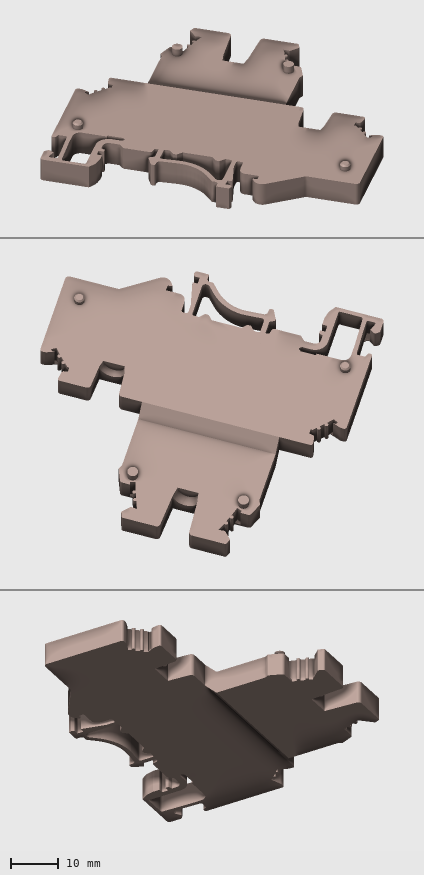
import cadquery as cq
import math

LENGTH = 67.2
HEIGHT = 61.0
PLATE = 5.2
STEP = 2.6
BODY_TOP_Y = 34.1
RAMP_END_Y = 36.8
BODY_MID_X = LENGTH / 2

HEAD_MID_X = 27.95
HEAD_HALF = 15.05

HEAD_NOTCH_HALVES = (3.2, 2.7, 2.3)
HEAD_TROUGH_Y = (50.6, 52.75)
BODY_NOTCH_HALVES = (3.15, 2.75, 2.35)
BODY_NOTCH_X = 51.35
BODY_TROUGH_Y = (26.75, 28.3)
CHANNEL_DROP = 0.2
NOTCH_ROUND = 0.8

RIB_RADIUS = 0.4
HEAD_FLOOR = 0.5
BODY_FLOOR = 0.2

PIN_Y = 14.0
PIN_X = 4.45
PIN_DIAMETER = 2.2
PIN_HEIGHT = 1.4
PIN_CHAMFER = 0.35
HEAD_PIN_Y = 50.55
HEAD_PIN_OFFSET = 12.15
HEAD_PIN_DIAMETER = 2.3
HEAD_PIN_HEIGHT = 1.75
HEAD_PIN_STEM = 0.9

ARCH_THICKNESS = 1.1
ARCH_RADIUS = 10.1
ARCH_CORNER = (33.05, 7.7)
ARCH_LEFT_SLOPE = 0.07
ARCH_RIGHT_SLOPE = -1.1


def outline(corners, z=0.0):
    """Closed wire through (x, y) or (x, y, radius) corners; a radius rounds that corner."""
    count = len(corners)
    path = None
    for i, corner in enumerate(corners):
        here = cq.Vector(*corner[:2])
        radius = corner[2] if len(corner) == 3 else 0
        back = (cq.Vector(*corners[i - 1][:2]) - here).normalized()
        ahead = (cq.Vector(*corners[(i + 1) % count][:2]) - here).normalized()
        half_angle = back.getAngle(ahead) / 2
        run = radius / math.tan(half_angle) if radius else 0
        start = here + back * run
        end = here + ahead * run
        if path is None:
            path = cq.Workplane("XY", origin=(0, 0, z)).moveTo(start.x, start.y)
        else:
            path = path.lineTo(start.x, start.y)
        if radius:
            inward = (back + ahead).normalized()
            middle = here + inward * (radius / math.sin(half_angle) - radius)
            path = path.threePointArc((middle.x, middle.y), (end.x, end.y))
    return path.close()


def mirrored(corners, mid_x):
    """The same corners reflected about x = mid_x, in reverse order."""
    return [(2 * mid_x - x, *rest) for x, *rest in reversed(corners)]


def arch_corners(depth):
    """Left end, rounded corner and right end of the spring arm, measured depth below its upper side."""
    left_angle = math.atan(ARCH_LEFT_SLOPE)
    right_angle = math.atan(ARCH_RIGHT_SLOPE)
    bend = (left_angle + right_angle) / 2
    offset = depth / math.cos((left_angle - right_angle) / 2)
    x = ARCH_CORNER[0] + offset * math.sin(bend)
    y = ARCH_CORNER[1] - offset * math.cos(bend)

    def left_at(end_x):
        return (end_x, y + ARCH_LEFT_SLOPE * (end_x - x))

    def right_at(end_y):
        return (x + (end_y - y) / ARCH_RIGHT_SLOPE, end_y)

    return left_at, (x, y, ARCH_RADIUS - depth), right_at


def trough(mid_x, y_range, halves, top_z):
    """Tapered half-round funnel in a notch floor, crossed by a round channel that dips outward."""
    inner_y, outer_y = y_range
    outer_radius, inner_radius = halves[1:]
    depth = outer_y - inner_y
    inner_center = cq.Vector(mid_x, inner_y, top_z)
    along_y = cq.Vector(0, 1, 0)
    funnel = cq.Solid.makeCone(inner_radius, outer_radius, depth, inner_center, along_y)
    rim = cq.Wire.makeCircle(inner_radius, inner_center - cq.Vector(0, 0, CHANNEL_DROP), along_y)
    channel = cq.Solid.extrudeLinear(rim, [], cq.Vector(0, depth, -CHANNEL_DROP))
    return cq.Workplane(funnel).union(cq.Workplane(channel))


def notch_corners(mid_x, mouth_y, y_range, halves):
    """Notch from its left mouth to its right mouth, ending at the trough's outer edge."""
    left = [
        (mid_x - halves[0], mouth_y, NOTCH_ROUND),
        (mid_x - halves[1], y_range[1]),
    ]
    return left + mirrored(left, mid_x)


HEAD_HOOK = [
    (HEAD_MID_X - HEAD_HALF, RAMP_END_Y),
    (HEAD_MID_X - HEAD_HALF, 48.7),
    (12.4, 49.6, 0.3),
    (13.7, 52.75, 0.7),
    (17.1, 52.75),
    (18.55, 57.0),
    (16.0, 59.7, 0.35),
    (16.5, HEIGHT, 0.4),
]
HEAD_RECESSES = [
    [(17.55, 57.9), (19.0, 58.05), (18.55, 57.0)],
    [(17.1, 52.75), (16.8, 51.8), (15.65, 52.2), (15.85, 52.75)],
]
HEAD_RIBS = [(17.95, 56.0), (17.3, 54.2)]

BODY_HOOK = [
    (0, 28.2, 0.55),
    (1.3, 28.2, 1.35),
    (3.75, 27.3),
    (6.7, 30.4),
    (5.85, 32.1, 1.0),
    (5.6, BODY_TOP_Y, 0.5),
]
BODY_RECESSES = [
    [(6.1, 31.6), (7.1, 31.45), (7.1, 30.4), (6.7, 30.4)],
    [(4.0, 27.55), (3.15, 26.55), (2.15, 27.15), (2.5, 27.55)],
]
BODY_RIBS = [(5.6, 29.6), (4.3, 28.3)]


def build_head():
    notch = notch_corners(HEAD_MID_X, HEIGHT, HEAD_TROUGH_Y, HEAD_NOTCH_HALVES)
    corners = HEAD_HOOK + notch + mirrored(HEAD_HOOK, HEAD_MID_X)
    head = outline(corners).extrude(PLATE)
    ramp_corners = [
        (BODY_TOP_Y, STEP),
        (RAMP_END_Y, 0),
        (RAMP_END_Y, PLATE),
        (BODY_TOP_Y, STEP + PLATE),
    ]
    ramp_plane = cq.Workplane("YZ", origin=(HEAD_MID_X - HEAD_HALF, 0, 0))
    ramp = ramp_plane.polyline(ramp_corners).close().extrude(2 * HEAD_HALF)
    head = head.union(ramp)
    head = head.cut(trough(HEAD_MID_X, HEAD_TROUGH_Y, HEAD_NOTCH_HALVES, PLATE))
    return finish_hooks(head, HEAD_MID_X, HEAD_RECESSES, HEAD_RIBS, 0, HEAD_FLOOR)


def finish_hooks(plate, mid_x, recesses, ribs, base_z, floor):
    """Cut the hook-corner recesses and add the grip ribs on both sides of mid_x."""
    for recess in recesses:
        for corners in (recess, mirrored(recess, mid_x)):
            plate = plate.cut(outline(corners, base_z + floor).extrude(PLATE))
    for centers in (ribs, mirrored(ribs, mid_x)):
        rib_plane = cq.Workplane("XY", origin=(0, 0, base_z))
        plate = plate.union(rib_plane.pushPoints(centers).circle(RIB_RADIUS).extrude(PLATE))
    return plate


def body_corners():
    left_at, bend, right_at = arch_corners(ARCH_THICKNESS)
    left_foot = [
        (0, 8.95, 0.4),
        (0.95, 8.95, 0.4),
        (1.3, 9.95, 0.3),
        (3.2, 9.95, 0.35),
        (3.5, 3.6),
        (2.7, 2.8, 0.55),
        (1.0, 4.0, 0.6),
        (0.1, 3.2, 0.35),
        (0.1, 0, 0.7),
        (10.75, 0),
        (11.8, 1.55, 2.7),
        (12.2, 3.35),
        (12.2, 5.0),
        (11.1, 5.0, 0.2),
        (11.1, 6.45, 0.2),
        (12.2, 6.45),
        (12.2, 7.2),
        (11.35, 7.5),
        (11.35, 9.95, 1.35),
        (14.65, 9.95, 0.35),
        (15.7, 8.9),
        (21.9, 8.9, 0.55),
        (22.25, 10.4, 0.4),
        (23.05, 10.4),
        (23.05, 7.5, 0.3),
        (21.8, 6.85, 0.4),
        (23.05, 4.4, 0.4),
        (24.0, 4.4, 0.35),
    ]
    spring_arm = [
        (*left_at(24.0), 0.8),
        bend,
        (*right_at(1.7), 0.4),
        (38.5, 1.7, 0.7),
        (38.5, 0),
        (41.3, 0),
        (41.65, 0.7),
        (41.3, 1.35),
        (40.2, 1.35),
        (40.2, 2.8),
        (41.3, 2.8),
        (40.05, 8.3),
    ]
    right_foot = [
        (40.05, 10.5, 0.5),
        (41.5, 10.5, 0.5),
        (41.5, 8.3),
        (41.85, 6.3, 1.35),
        (46.1, 6.3),
        (46.1, 5.1, 0.3),
        (45.0, 5.0, 0.15),
        (46.6, 2.6, 1.95),
        (55.65, 8.9, 0.7),
        (LENGTH, 8.9, 0.8),
    ]
    notch = notch_corners(BODY_NOTCH_X, BODY_TOP_Y, BODY_TROUGH_Y, BODY_NOTCH_HALVES)
    upper_edge = BODY_HOOK + notch + mirrored(BODY_HOOK, BODY_MID_X)
    return left_foot + spring_arm + right_foot + list(reversed(upper_edge))


def foot_window():
    """Opening beside the left foot, running into a slit."""
    return [
        (4.5, 0.9, 0.55),
        (9.8, 0.9, 0.3),
        (9.8, 11.5, 2.8),
        (14.7, 11.5, 0.2),
        (15.3, 12.0, 0.2),
        (14.65, 12.6),
        (11.3, 12.6),
        (11.3, 12.15),
        (4.2, 12.15, 1.7),
        (4.2, 7.7),
    ]


def spring_window():
    """Opening above the spring arm, with two teeth hanging from its upper edge."""
    left_at, bend, right_at = arch_corners(0)
    left_x = 24.2
    right_x = 39.1
    bottom_y = 2.5
    top_y = 10.6
    tooth_y = 9.55
    tooth_base_half = 1.4
    tooth_tip_half = 0.4
    corners = [
        (*left_at(left_x), 0.5),
        bend,
        (*right_at(bottom_y), 0.95),
        (right_x, bottom_y, 0.75),
        (right_x, top_y, 0.5),
    ]
    for tooth_x in (36.15, 26.9):
        corners += [
            (tooth_x + tooth_base_half, top_y),
            (tooth_x + tooth_tip_half, tooth_y),
            (tooth_x - tooth_tip_half, tooth_y),
            (tooth_x - tooth_base_half, top_y),
        ]
    return corners + [(left_x, top_y, 0.35)]


def foot_pocket():
    """Blind pocket inside the left foot's claw."""
    return [(2.0, 2.95), (1.5, 1.35, 0.3), (3.5, 1.35, 0.3), (3.5, 3.6), (2.8, 3.6)]


def build_body():
    body = outline(body_corners(), STEP).extrude(PLATE)
    for window in (foot_window(), spring_window()):
        body = body.cut(outline(window, STEP).extrude(PLATE))
    body = body.cut(outline(foot_pocket(), STEP + BODY_FLOOR).extrude(PLATE))
    body = body.cut(trough(BODY_NOTCH_X, BODY_TROUGH_Y, BODY_NOTCH_HALVES, STEP + PLATE))
    return finish_hooks(body, BODY_MID_X, BODY_RECESSES, BODY_RIBS, STEP, BODY_FLOOR)


def build_body_pins():
    centers = [(PIN_X, PIN_Y), (LENGTH - PIN_X, PIN_Y)]
    plane = cq.Workplane("XY", origin=(0, 0, STEP + PLATE))
    pins = plane.pushPoints(centers).circle(PIN_DIAMETER / 2).extrude(PIN_HEIGHT)
    return pins.faces(">Z").chamfer(PIN_CHAMFER)


def build_head_pins():
    centers = [(HEAD_MID_X + side * HEAD_PIN_OFFSET, HEAD_PIN_Y) for side in (-1, 1)]
    plane = cq.Workplane("XY", origin=(0, 0, PLATE)).pushPoints(centers)
    stems = plane.circle(PIN_DIAMETER / 2).extrude(HEAD_PIN_STEM)
    cap_plane = cq.Workplane("XY", origin=(0, 0, PLATE + HEAD_PIN_STEM)).pushPoints(centers)
    caps = cap_plane.circle(HEAD_PIN_DIAMETER / 2).extrude(HEAD_PIN_HEIGHT - HEAD_PIN_STEM)
    return stems.union(caps)


result = build_head().union(build_body()).union(build_body_pins()).union(build_head_pins())